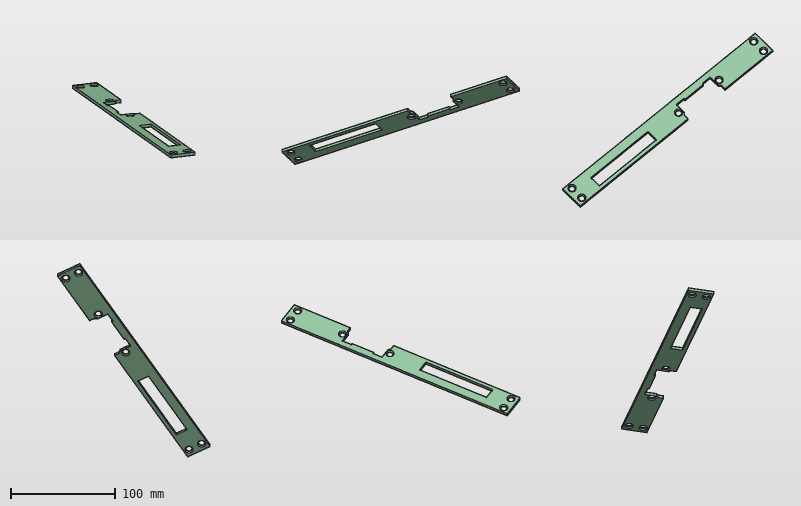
import cadquery as cq

length = 250.0
width = 25.0
thickness = 3.0

notch_x = 86.0
mouth_width = 48.0
shoulder_depth = 7.2
throat_width = 44.0
notch_depth = 19.0
tab_width = 24.0
tab_height = 1.5

window_left = 147.8
window_length = 74.0
window_bottom = 9.2
window_width = 12.0

hole_diameter = 5.8
sink_diameter = 8.0
end_margin = 7.0
end_pitch = 14.0
notch_hole_pitch = 52.5
notch_hole_y = 14.0


def notch_cutter():
    """Opening that narrows through a 45 degree slope on each side, with a raised floor tab."""
    shoulder_chamfer = (mouth_width - throat_width) / 2
    floor_y = width - notch_depth
    mouth = cq.Workplane("XY").rect(mouth_width, 2 * shoulder_depth).extrude(thickness)
    mouth = mouth.translate((0, width, 0)).edges("|Z and <Y").chamfer(shoulder_chamfer)
    throat = cq.Workplane("XY").rect(throat_width, 2 * notch_depth).extrude(thickness)
    throat = throat.translate((0, width, 0))
    tab = cq.Workplane("XY").rect(tab_width, 2 * tab_height).extrude(thickness)
    tab = tab.translate((0, floor_y, 0))
    return throat.cut(tab).union(mouth).translate((notch_x, 0, 0))


def countersunk_hole(position):
    """Through hole flaring at 45 degrees to the sink diameter at both faces."""
    hole_radius = hole_diameter / 2
    sink_radius = sink_diameter / 2
    sink_depth = sink_radius - hole_radius
    profile = [
        (0, 0),
        (sink_radius, 0),
        (hole_radius, sink_depth),
        (hole_radius, thickness - sink_depth),
        (sink_radius, thickness),
        (0, thickness),
    ]
    hole = cq.Workplane("XZ").polyline(profile).close().revolve(360, (0, 0), (0, 1))
    return hole.translate((*position, 0))


plate = cq.Workplane("XY").box(length, width, thickness, centered=False)

window = cq.Workplane("XY").box(window_length, window_width, thickness, centered=False)
window = window.translate((window_left, window_bottom, 0))

end_holes = [
    (x, width / 2 + side * end_pitch / 2)
    for x in (end_margin, length - end_margin)
    for side in (-1, 1)
]
notch_holes = [(notch_x + side * notch_hole_pitch / 2, notch_hole_y) for side in (-1, 1)]

result = plate.cut(notch_cutter()).cut(window)

for position in end_holes + notch_holes:
    result = result.cut(countersunk_hole(position))